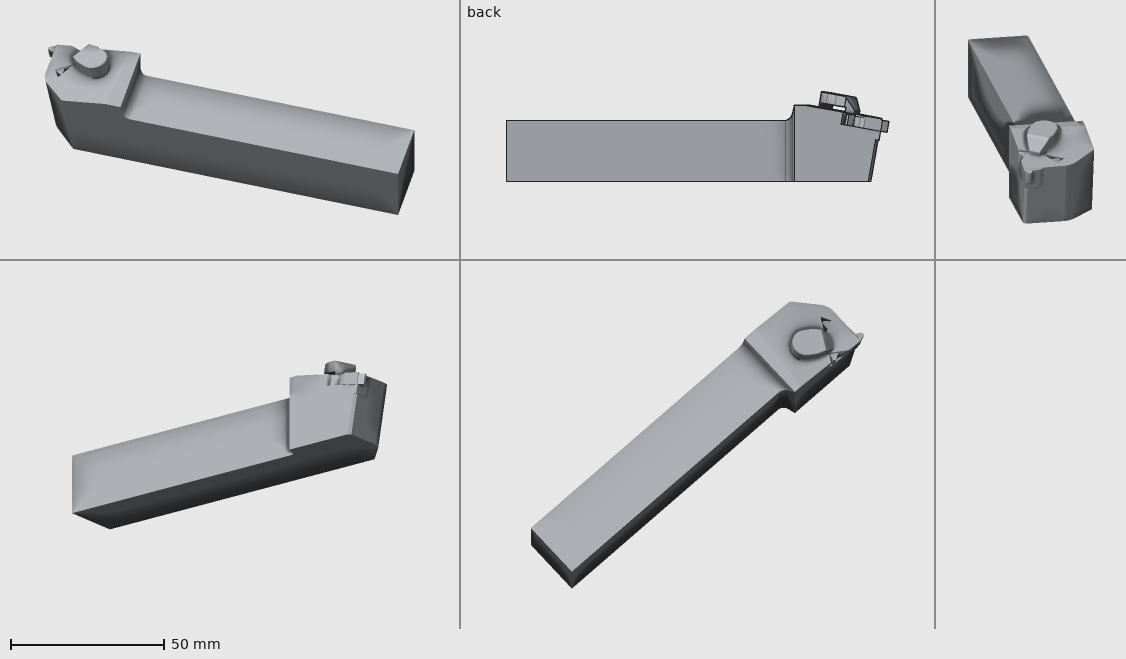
import cadquery as cq
import math

LENGTH = 125.0
SHANK_SIZE = 20.0
HEAD_WIDTH = 24.5
HEAD_HEIGHT = 25.0
HEAD_REAR = 31.0
STEP_X = 31.6
STEP_FILLET = 2.2
FILLET_BEND = 0.35

FRONT_X = 6.0
LEAN = 0.175
BEVEL_FOOT_X = 15.0
BEVEL_TOP = (7.5, 7.6)
FRONT_CORNER_Y = 11.0
ROUND_MID = (6.5, 9.2)
BACK_CHAMFER = 0.9

RIDGE_X = 25.9
RIDGE_SKEW = 0.092
TOP_SLOPE = math.tan(math.radians(10))

INSERT_X = 7.0
INSERT_Y = 20.1
INSERT_INRADIUS = 4.9
INSERT_THICKNESS = 4.0
CORNER_TURNS = (0, 120, 240)
BLUNT_BEVEL = 0.9
CORNER_CUT = 5.0
RAKE_WIDTH = 0.5
RAKE_DEPTH = 0.6
TOOTH_TIP = 7.1
TOOTH_TIP_SIDES = (3.0, 3.9)
TOOTH_BASE_SIDES = (1.9, 4.6)
TOOTH_DROP = 0.4
SEAT_DEPTH = 3.0

CLAMP_X = 13.1
CLAMP_Y = 18.5
CLAMP_ANGLE = -30.0
CLAMP_HEIGHT = 5.4
CLAMP_RADIUS = 4.5
CLAMP_ARC_CENTRE = 6.5
CLAMP_FRONT_HALF = 3.6
NOSE_REACH = 2.9
NOSE_HALF = 1.8
NOSE_LIP = 1.2
GAP_START = -0.4
GAP_END = 8.8
GAP_HEIGHT = 1.6
CLAMP_ROOT = 0.6
EDGE_BREAK = 0.2
NOSE_EDGE_BREAK = 0.6


def top_height(x, y):
    """Height of the sloped head top above a point."""
    return HEAD_HEIGHT - TOP_SLOPE * (RIDGE_X + RIDGE_SKEW * y - x)


def top_plane(x, y, turn=0.0):
    """Work plane on the sloped top, its X axis turned about the plane's normal."""
    normal = cq.Vector(-TOP_SLOPE, TOP_SLOPE * RIDGE_SKEW, 1)
    plane = cq.Plane((x, y, top_height(x, y)), (1, 0, TOP_SLOPE), normal)
    return plane.rotated((0, 0, turn))


def stepped_outline(plane, rear_height, shank_height):
    """Holder silhouette from head to shank, with the rear wall and its fillet."""
    bend = STEP_FILLET * FILLET_BEND
    return (
        cq.Workplane(plane)
        .moveTo(0, 0)
        .lineTo(LENGTH, 0)
        .lineTo(LENGTH, shank_height)
        .lineTo(STEP_X + STEP_FILLET, shank_height)
        .threePointArc((STEP_X + bend, shank_height + bend), (STEP_X, shank_height + STEP_FILLET))
        .lineTo(HEAD_REAR, rear_height)
        .lineTo(0, rear_height)
        .close()
    )


def make_blank():
    """Shank and head with the leaning, bevelled front."""
    side = stepped_outline("XZ", HEAD_HEIGHT, SHANK_SIZE).extrude(-HEAD_WIDTH)
    plan = stepped_outline("XY", HEAD_WIDTH, SHANK_SIZE).extrude(HEAD_HEIGHT)
    far_x = 2 * LENGTH
    front_wire = (
        cq.Workplane("XY")
        .moveTo(far_x, 0)
        .lineTo(BEVEL_FOOT_X, 0)
        .lineTo(*BEVEL_TOP)
        .threePointArc(ROUND_MID, (FRONT_X, FRONT_CORNER_Y))
        .lineTo(FRONT_X, HEAD_WIDTH - BACK_CHAMFER)
        .lineTo(FRONT_X + BACK_CHAMFER, HEAD_WIDTH)
        .lineTo(far_x, HEAD_WIDTH)
        .close()
        .val()
    )
    lean_vector = cq.Vector(-LEAN * HEAD_HEIGHT, 0, HEAD_HEIGHT)
    front = cq.Solid.extrudeLinear(front_wire, [], lean_vector)
    above_top = cq.Workplane(top_plane(RIDGE_X, 0)).rect(LENGTH, LENGTH).extrude(LENGTH)
    return side.intersect(plan).intersect(cq.Workplane(front)).cut(above_top)


def triangle_prism(plane, depth):
    """Equilateral prism going down from the plane, one side facing +Y."""
    corner_angles = (30, 150, 270)
    circumradius = 2 * INSERT_INRADIUS
    corners = [
        (circumradius * math.cos(math.radians(a)), circumradius * math.sin(math.radians(a)))
        for a in corner_angles
    ]
    return cq.Workplane(plane).polyline(corners).close().extrude(-depth)


def trimmed_outline():
    """Triangle with each corner cut off on a slant and the blunt edge bevelled."""
    side_angle = math.radians(210)
    high = INSERT_INRADIUS
    low = (INSERT_INRADIUS + CORNER_CUT * math.cos(side_angle)) / math.sin(side_angle)
    corner = [
        (-CORNER_CUT, high),
        (-CORNER_CUT, low + BLUNT_BEVEL),
        (-CORNER_CUT + BLUNT_BEVEL / 2, low - BLUNT_BEVEL * math.sqrt(0.75)),
    ]
    points = []
    for turn in CORNER_TURNS:
        c = math.cos(math.radians(turn))
        s = math.sin(math.radians(turn))
        points += [(x * c - y * s, x * s + y * c) for x, y in corner]
    return points


def rake_cutter(turn):
    """Bevel along the top of one cut-off corner face."""
    section = [
        (-CORNER_CUT + RAKE_WIDTH, 0),
        (-CORNER_CUT, 0),
        (-CORNER_CUT, -RAKE_DEPTH),
    ]
    across = 2 * INSERT_INRADIUS
    plane = top_plane(INSERT_X, INSERT_Y, turn)
    section_plane = cq.Plane(plane.origin, plane.xDir, -plane.yDir)
    return cq.Workplane(section_plane).polyline(section).close().extrude(across, both=True)


def make_tooth(turn):
    """Cutting tooth on one corner face."""
    base_x = -CORNER_CUT + RAKE_WIDTH
    outline = [
        (base_x, TOOTH_BASE_SIDES[0]),
        (-CORNER_CUT, TOOTH_BASE_SIDES[0]),
        (-TOOTH_TIP, TOOTH_TIP_SIDES[0]),
        (-TOOTH_TIP, TOOTH_TIP_SIDES[1]),
        (-CORNER_CUT, TOOTH_BASE_SIDES[1]),
        (base_x, TOOTH_BASE_SIDES[1]),
    ]
    tooth_plane = top_plane(INSERT_X, INSERT_Y, turn)
    return (
        cq.Workplane(tooth_plane)
        .workplane(offset=-TOOTH_DROP)
        .polyline(outline)
        .close()
        .extrude(TOOTH_DROP - INSERT_THICKNESS)
    )


def make_insert():
    plane = top_plane(INSERT_X, INSERT_Y)
    insert = cq.Workplane(plane).polyline(trimmed_outline()).close().extrude(-INSERT_THICKNESS)
    for turn in CORNER_TURNS:
        insert = insert.cut(rake_cutter(turn))
    for turn in CORNER_TURNS:
        insert = insert.union(make_tooth(turn))
    return insert


def make_seat():
    """Block under the insert that stands slightly proud of the head front."""
    plane = top_plane(INSERT_X, INSERT_Y)
    seat = (
        cq.Workplane(plane)
        .workplane(offset=-INSERT_THICKNESS)
        .polyline(trimmed_outline())
        .close()
        .extrude(-SEAT_DEPTH)
    )
    head_zone = cq.Workplane("XY").box(LENGTH, HEAD_WIDTH, HEAD_HEIGHT, centered=False)
    return seat.intersect(head_zone)


def make_clamp():
    """Bridge-shaped clamp: nose on the insert, heel on the head."""
    plane = top_plane(CLAMP_X, CLAMP_Y, CLAMP_ANGLE)
    rear = CLAMP_ARC_CENTRE + CLAMP_RADIUS
    side_start = CLAMP_ARC_CENTRE / 2
    plan = (
        cq.Workplane(plane)
        .workplane(offset=-CLAMP_ROOT)
        .moveTo(-NOSE_REACH, -NOSE_HALF)
        .lineTo(0, -CLAMP_FRONT_HALF)
        .lineTo(side_start, -CLAMP_RADIUS)
        .lineTo(CLAMP_ARC_CENTRE, -CLAMP_RADIUS)
        .threePointArc((rear, 0), (CLAMP_ARC_CENTRE, CLAMP_RADIUS))
        .lineTo(side_start, CLAMP_RADIUS)
        .lineTo(0, CLAMP_FRONT_HALF)
        .lineTo(-NOSE_REACH, NOSE_HALF)
        .close()
        .extrude(CLAMP_HEIGHT + CLAMP_ROOT)
        .faces(cq.selectors.DirectionMinMaxSelector(plane.zDir, True))
        .chamfer(EDGE_BREAK)
    )
    profile = [
        (NOSE_EDGE_BREAK, CLAMP_HEIGHT),
        (0, CLAMP_HEIGHT - NOSE_EDGE_BREAK),
        (-NOSE_REACH, NOSE_LIP),
        (-NOSE_REACH, 0),
        (GAP_START, 0),
        (GAP_START, GAP_HEIGHT),
        (GAP_END, GAP_HEIGHT),
        (GAP_END, -CLAMP_ROOT),
        (rear, -CLAMP_ROOT),
        (rear, CLAMP_HEIGHT),
    ]
    profile_plane = cq.Plane(plane.origin, plane.xDir, -plane.yDir)
    bridge = cq.Workplane(profile_plane).polyline(profile).close().extrude(2 * CLAMP_RADIUS, both=True)
    return plan.intersect(bridge)


def make_holder():
    pocket = triangle_prism(top_plane(INSERT_X, INSERT_Y), INSERT_THICKNESS)
    return make_blank().cut(pocket).union(make_seat()).union(make_clamp())


insert = make_insert()
holder = make_holder().cut(insert)

result = cq.Compound.makeCompound([*holder.vals(), insert.val()])